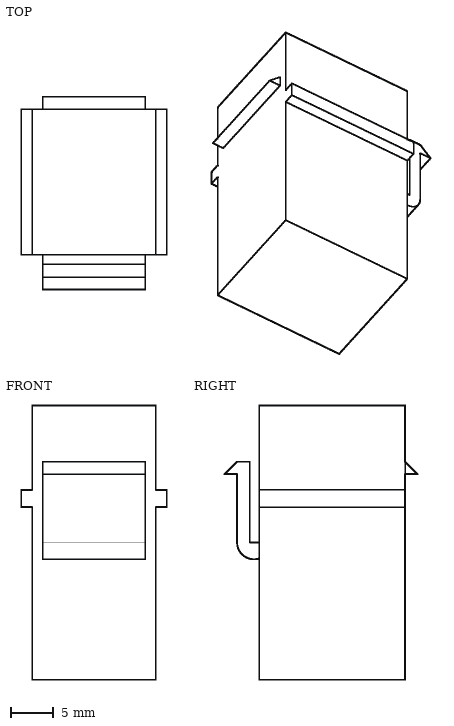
import cadquery as cq

body_width = 14.4
body_depth = 17.0
body_height = 32.0
body_back = body_depth / 2
body_front = -body_back

rail_span = 17.0
rail_thickness = 2.0
rail_bottom = 20.15

latch_width = 12.0
latch_top = 25.45
arm_thickness = 1.5
ledge_radius = 2.0
ledge_top = 16.05
ledge_axis_offset = 0.6
hook_size = 1.45

ledge_axis_y = body_front - ledge_axis_offset
arm_front = ledge_axis_y - ledge_radius
arm_back = arm_front + arm_thickness


def box_between(width, y_start, y_end, z_start, z_end):
    """Box centred on X, spanning the given Y and Z limits."""
    depth = y_end - y_start
    height = z_end - z_start
    corner = (-width / 2, y_start, z_start)
    return cq.Workplane("XY").box(width, depth, height, centered=False).translate(corner)


def make_hook(face_y, direction):
    """Triangular hook, flat underneath, sloping up to meet a face at the latch top."""
    hook_bottom = latch_top - hook_size
    return (
        cq.Workplane("YZ")
        .moveTo(face_y, latch_top)
        .lineTo(face_y, hook_bottom)
        .lineTo(face_y + direction * hook_size, hook_bottom)
        .close()
        .extrude(latch_width / 2, both=True)
    )


def make_body():
    """Plain block with a rail along each side."""
    block = box_between(body_width, body_front, body_back, 0, body_height)
    rails = box_between(rail_span, body_front, body_back, rail_bottom, rail_bottom + rail_thickness)
    return block.union(rails)


def make_ledge():
    """Lower half of a cylinder lying along X, its inner part sunk into the body."""
    return (
        cq.Workplane("YZ")
        .moveTo(arm_front, ledge_top)
        .threePointArc(
            (ledge_axis_y, ledge_top - ledge_radius),
            (ledge_axis_y + ledge_radius, ledge_top),
        )
        .close()
        .extrude(latch_width / 2, both=True)
    )


def make_latch():
    """Rounded ledge carrying an upright arm with a hook at its tip."""
    arm = box_between(latch_width, arm_front, arm_back, ledge_top, latch_top)
    return make_ledge().union(arm).union(make_hook(arm_front, -1))


catch = make_hook(body_back, 1)
result = make_body().union(make_latch()).union(catch)